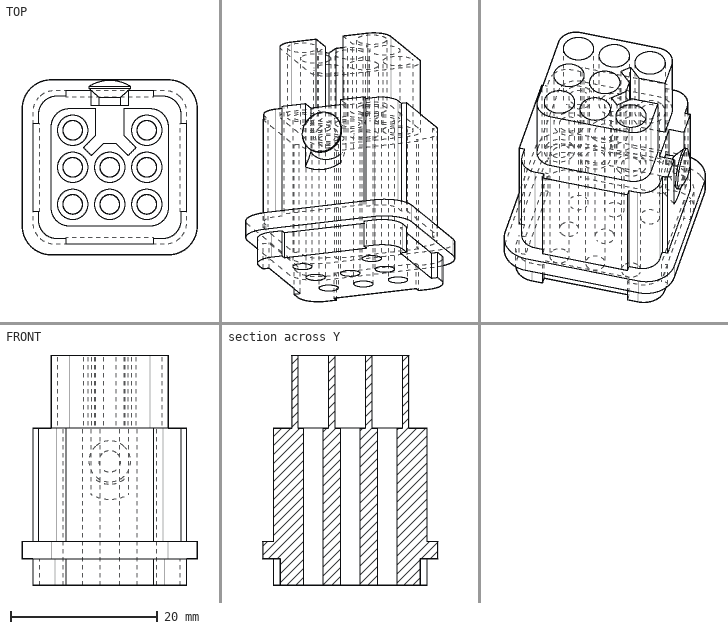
import cadquery as cq
import math

FLANGE_BOTTOM = 3.62
FLANGE_TOP = 6.02
BODY_TOP = 21.5
TOWER_TOP = 31.5

FLANGE_WIDTH = 24.0
FLANGE_RADIUS = 4.0
BASE_WIDTH = 21.05
BASE_RADIUS = 3.0
CORE_WIDTH = 19.5
TOWER_WIDTH = 16.05
CORNER_RADIUS = 2.5

PAD_LENGTH = 12.03
PAD_SPAN = BASE_WIDTH
RECESS_DEPTH = 0.9

HOLE_PITCH = 5.07
BORE_DIAMETER = 2.65
COUNTERBORE_DIAMETER = 4.15

KEYWAY_HALF_WIDTH = 1.95
KEYWAY_SHOULDER_Y = 4.35
ARM_LENGTH = 2.33
ARM_WIDTH = 1.55

SCREW_Z = 16.98
POCKET_HALF_WIDTH = 2.58
POCKET_BACK_Y = 8.45
POCKET_FLOOR_RADIUS = 3.15
SHANK_RADIUS = 1.48
HEAD_RADIUS = 2.85
CONE_START_Y = 9.58
RIM_START_Y = 10.8
RIM_END_Y = 11.1
DOME_TOP_Y = 11.9
SHANK_EMBED = 0.63


def square_block(width, radius, bottom, top):
    """Square prism with rounded vertical corners."""
    block = cq.Workplane("XY").workplane(offset=bottom).rect(width, width).extrude(top - bottom)
    return block.edges("|Z").fillet(radius)


def box_between(size_x, size_y, bottom, top):
    """Centred rectangular block between two heights."""
    return cq.Workplane("XY").workplane(offset=bottom).rect(size_x, size_y).extrude(top - bottom)


def make_base():
    """Base with four corner feet left between recessed sides."""
    base = square_block(BASE_WIDTH, BASE_RADIUS, 0, FLANGE_BOTTOM)
    recess_centre = (BASE_WIDTH - RECESS_DEPTH) / 2
    recess = box_between(PAD_LENGTH, RECESS_DEPTH, 0, FLANGE_BOTTOM).translate((0, recess_centre, 0))
    for side in range(4):
        base = base.cut(recess.rotate((0, 0, 0), (0, 0, 1), 90 * side))
    return base


def make_body():
    """Rounded core with a flat raised pad on each side."""
    core = square_block(CORE_WIDTH, CORNER_RADIUS, FLANGE_TOP, BODY_TOP)
    pads_x = box_between(PAD_SPAN, PAD_LENGTH, FLANGE_TOP, BODY_TOP)
    pads_y = box_between(PAD_LENGTH, PAD_SPAN, FLANGE_TOP, BODY_TOP)
    return core.union(pads_x).union(pads_y)


def make_keyway():
    """Forked slot, as deep as the tower is tall and open on the +Y side."""
    arm_step = ARM_LENGTH * math.sqrt(0.5)
    end_step = ARM_WIDTH * math.sqrt(0.5)
    tip_x = KEYWAY_HALF_WIDTH + arm_step
    tip_y = KEYWAY_SHOULDER_Y - arm_step
    heel_x = tip_x - end_step
    heel_y = tip_y - end_step
    floor_x = heel_x - arm_step
    floor_y = heel_y + arm_step
    right_side = [
        (floor_x, floor_y),
        (heel_x, heel_y),
        (tip_x, tip_y),
        (KEYWAY_HALF_WIDTH, KEYWAY_SHOULDER_Y),
        (KEYWAY_HALF_WIDTH, TOWER_WIDTH),
    ]
    left_side = [(-x, y) for x, y in reversed(right_side)]
    outline = cq.Workplane("XY").workplane(offset=BODY_TOP).polyline(right_side + left_side).close()
    return outline.extrude(TOWER_TOP - BODY_TOP)


def make_contact_holes():
    """Through bores with counterbores as deep as the tower is tall."""
    steps = (-HOLE_PITCH, 0, HOLE_PITCH)
    centres = [(x, y) for x in steps for y in steps if (x, y) != (0, HOLE_PITCH)]
    bores = cq.Workplane("XY").pushPoints(centres).circle(BORE_DIAMETER / 2).extrude(TOWER_TOP)
    counterbores = (
        cq.Workplane("XY")
        .workplane(offset=BODY_TOP)
        .pushPoints(centres)
        .circle(COUNTERBORE_DIAMETER / 2)
        .extrude(TOWER_TOP - BODY_TOP)
    )
    return bores.union(counterbores)


def make_screw_pocket():
    """Pocket open to the top of the body and to its +Y side, with a 45 degree conical floor."""
    depth = PAD_SPAN / 2 - POCKET_BACK_Y
    rim_radius = POCKET_FLOOR_RADIUS + depth
    channel = box_between(2 * POCKET_HALF_WIDTH, depth, FLANGE_TOP, BODY_TOP)
    channel = channel.translate((0, POCKET_BACK_Y + depth / 2, 0))
    upper = channel.intersect(box_between(FLANGE_WIDTH, FLANGE_WIDTH, SCREW_Z, BODY_TOP))
    cone = (
        cq.Workplane("XY", origin=(0, 0, SCREW_Z))
        .moveTo(0, POCKET_BACK_Y)
        .lineTo(POCKET_FLOOR_RADIUS, POCKET_BACK_Y)
        .lineTo(rim_radius, PAD_SPAN / 2)
        .lineTo(0, PAD_SPAN / 2)
        .close()
        .revolve(360, (0, 0, 0), (0, 1, 0))
    )
    return upper.union(channel.intersect(cone))


def make_screw():
    """Raised countersunk screw along Y, turned from its half profile."""
    dome_height = DOME_TOP_Y - RIM_END_Y
    dome_radius = (HEAD_RADIUS**2 + dome_height**2) / (2 * dome_height)
    half_angle = math.asin(HEAD_RADIUS / dome_radius) / 2
    dome_middle = (
        dome_radius * math.sin(half_angle),
        DOME_TOP_Y - dome_radius * (1 - math.cos(half_angle)),
    )
    shank_start_y = POCKET_BACK_Y - SHANK_EMBED
    profile = (
        cq.Workplane("XY", origin=(0, 0, SCREW_Z))
        .moveTo(0, shank_start_y)
        .lineTo(SHANK_RADIUS, shank_start_y)
        .lineTo(SHANK_RADIUS, CONE_START_Y)
        .lineTo(HEAD_RADIUS, RIM_START_Y)
        .lineTo(HEAD_RADIUS, RIM_END_Y)
        .threePointArc(dome_middle, (0, DOME_TOP_Y))
        .close()
    )
    return profile.revolve(360, (0, 0, 0), (0, 1, 0))


flange = square_block(FLANGE_WIDTH, FLANGE_RADIUS, FLANGE_BOTTOM, FLANGE_TOP)
tower = square_block(TOWER_WIDTH, CORNER_RADIUS, BODY_TOP, TOWER_TOP)

housing = make_base().union(flange).union(make_body()).union(tower)
housing = housing.cut(make_keyway()).cut(make_screw_pocket())
housing = housing.union(make_screw())
result = housing.cut(make_contact_holes())